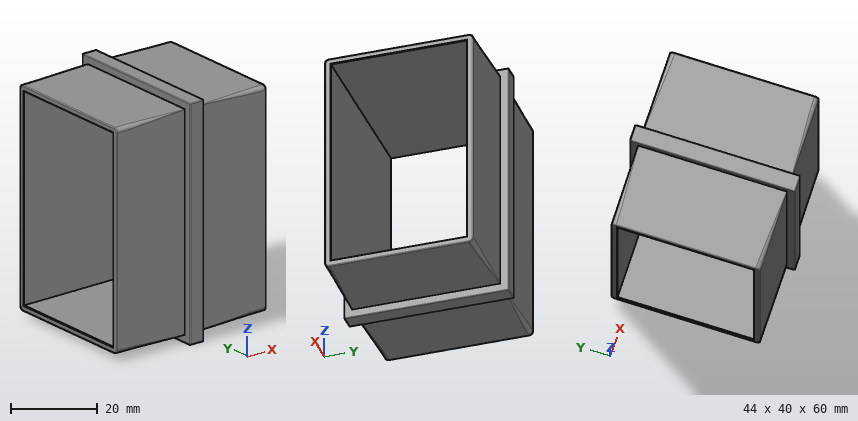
import cadquery as cq

length = 44.0
flange_width = 40.0
flange_height = 60.0
flange_thickness = 4.0
flange_edge_rounding = 0.2

flange_step = 2.0
wall = 1.5
root_corner_radius = 0.03
end_corner_radius = 1.1
loft_steps = 6
outer_rim_rounding = 0.25
bore_rim_chamfer = 0.2

half_length = length / 2
sleeve_width = flange_width - 2 * flange_step
sleeve_height = flange_height - 2 * flange_step
bore_width = sleeve_width - 2 * wall
bore_height = sleeve_height - 2 * wall


def rectangular_bar(width, height, bar_length):
    """Bar along X, centred on the origin."""
    return cq.Workplane("YZ").rect(width, height).extrude(bar_length / 2, both=True)


def sleeve_section(travel):
    """Sleeve outline at a fraction of the way from the middle (0) to the open end (1)."""
    ease = travel**2 * (3 - 2 * travel)
    radius = root_corner_radius + (end_corner_radius - root_corner_radius) * ease
    section = cq.Sketch().rect(sleeve_width, sleeve_height).vertices().fillet(radius)
    return section.moved(cq.Location(cq.Vector(0, 0, travel * half_length)))


def sleeve_half():
    """Solid half sleeve along +X whose corners grow smoothly rounder towards the open end."""
    sections = [sleeve_section(step / loft_steps) for step in range(loft_steps + 1)]
    half = cq.Workplane("YZ").placeSketch(*sections).loft()
    return half.faces(">X").edges().fillet(outer_rim_rounding)


def bore_mouth():
    """Tapered cutter that chamfers the bore edge at the +X end."""
    return (
        cq.Workplane("YZ", origin=(half_length, 0, 0))
        .rect(bore_width + 2 * bore_rim_chamfer, bore_height + 2 * bore_rim_chamfer)
        .workplane(offset=-bore_rim_chamfer)
        .rect(bore_width, bore_height)
        .loft(ruled=True)
    )


flange = rectangular_bar(flange_width, flange_height, flange_thickness)
flange = flange.edges().fillet(flange_edge_rounding)

bore = rectangular_bar(bore_width, bore_height, length)

result = flange
for half in (sleeve_half(), sleeve_half().mirror("YZ")):
    result = result.union(half)
for cutter in (bore, bore_mouth(), bore_mouth().mirror("YZ")):
    result = result.cut(cutter)